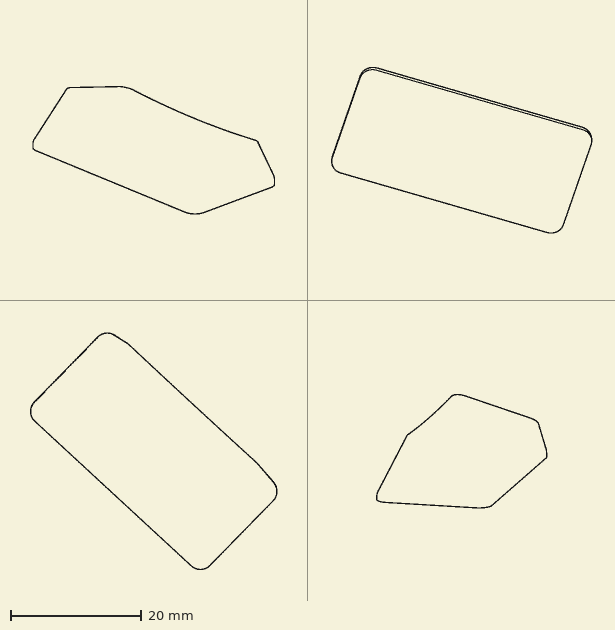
import cadquery as cq
import math

length = 37.2
width = 18.15
skirt_height = 0.67
skirt_corner_radius = 2.0

shoulder_top_z = 1.38
side_inset = 0.22
front_inset = 0.2
back_inset = 0.05

shoulder_middle_share = 0.5**2

rim_half_length = 15.07
rim_front_y = -5.0
rim_front_z = 9.95
rim_back_y = 8.65
rim_back_z = 6.1
rim_corner_radius = 1.82
rim_edge_radius = 0.37

dish_depth = 0.67
dish_radius = (rim_half_length**2 + dish_depth**2) / (2 * dish_depth)
dish_tilt = math.degrees(math.atan2(rim_front_z - rim_back_z, rim_back_y - rim_front_y))
dish_length = 4 * width

wall_overrun = 0.2

rim_outline = (
    rim_half_length,
    rim_front_y,
    rim_front_z,
    rim_back_y,
    rim_back_z,
    rim_corner_radius,
)


def shoulder_outline(inset_share, z):
    """Level outline at height z, drawn in from the skirt by a share of the full inset."""
    return (
        length / 2 - inset_share * side_inset,
        -width / 2 + inset_share * front_inset,
        z,
        width / 2 - inset_share * back_inset,
        z,
        skirt_corner_radius,
    )


def outline_beyond(first, second, overrun):
    """Continue from the first outline through the second by a fraction of the way between them."""
    return tuple(b + overrun * (b - a) for a, b in zip(first, second))


def outline_wire(outline):
    """Rounded rectangle symmetric about X = 0, tilted when its front and back differ in height."""
    half_length, front_y, front_z, back_y, back_z, corner_radius = outline
    slant_width = math.hypot(back_y - front_y, back_z - front_z)
    plane = cq.Plane(
        origin=(0, (front_y + back_y) / 2, (front_z + back_z) / 2),
        xDir=(1, 0, 0),
        normal=(0, front_z - back_z, back_y - front_y),
    )
    wire = cq.Workplane(plane).rect(2 * half_length, slant_width).val()
    return wire.fillet2D(corner_radius, wire.Vertices())


def loft(outlines, ruled):
    wires = [outline_wire(outline) for outline in outlines]
    return cq.Workplane(cq.Solid.makeLoft(wires, ruled))


def make_skirt():
    skirt = cq.Workplane("XY").rect(length, width).extrude(skirt_height)
    return skirt.edges("|Z").fillet(skirt_corner_radius)


def make_shoulder():
    """Smooth band that leaves the skirt upright and bends inward to the walls."""
    bottom = shoulder_outline(0, skirt_height)
    middle = shoulder_outline(shoulder_middle_share, (skirt_height + shoulder_top_z) / 2)
    top = shoulder_outline(1, shoulder_top_z)
    return loft([bottom, middle, top], ruled=False)


def make_walls():
    """Straight sloping walls from the shoulder to a little above the rim."""
    foot = shoulder_outline(1, shoulder_top_z)
    head = outline_beyond(foot, rim_outline, wall_overrun)
    return loft([foot, head], ruled=True)


def make_dish():
    """Cylinder lying along the slope of the top face, meeting the rim at both ends of the key."""
    return (
        cq.Workplane("XZ")
        .center(0, dish_radius - dish_depth)
        .circle(dish_radius)
        .extrude(dish_length / 2, both=True)
        .rotate((0, 0, 0), (1, 0, 0), -dish_tilt)
        .translate((0, rim_front_y, rim_front_z))
    )


def round_rim(body):
    """Round every edge of the dished top face."""
    rim_center = (0, (rim_front_y + rim_back_y) / 2, (rim_front_z + rim_back_z) / 2)
    top_face = body.faces(cq.selectors.NearestToPointSelector(rim_center))
    return top_face.edges().fillet(rim_edge_radius)


keycap = make_skirt().union(make_shoulder()).union(make_walls())
keycap = keycap.cut(make_dish())
result = round_rim(keycap)